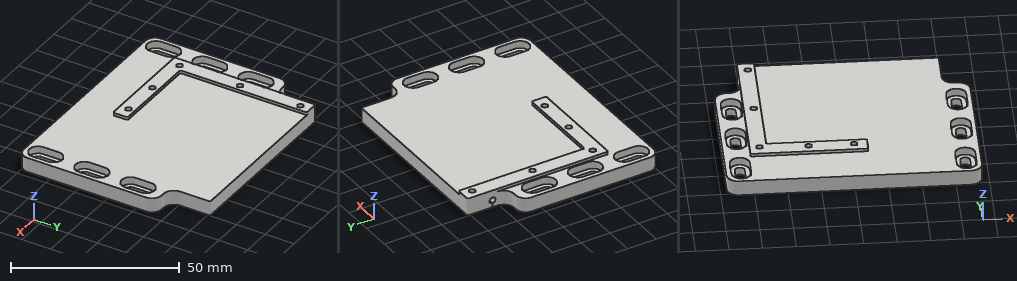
import cadquery as cq

plate_width = 76.0
plate_length = 62.0
plate_thickness = 5.0
shoulder_y = 48.0
shoulder_width = 8.0
shoulder_radius = 3.5
tongue_width = plate_width - 2 * shoulder_width
small_radius = 0.5

rail_height = 1.0
rail_width = 5.1
rail_front_y = 13.0
rail_foot_length = 35.0
rail_left_x = -tongue_width / 2
rail_leg_length = plate_length - rail_front_y
total_height = plate_thickness + rail_height

pin_diameter = 2.0
pin_edge_offset = 3.0
leg_pin_back_offset = 3.5
leg_pin_pitch = 21.0
leg_pin_count = 3
foot_pin_offsets = (17.5, 31.0)

slot_x = plate_width / 2 - 4.5
slot_first_y = 7.1
slot_pitch = 16.0
slot_count = 3
slot_width = 3.0
slot_travel = 5.25
counterbore_width = 6.0
counterbore_depth = 2.5

bore_diameter = 2.0
bore_y = plate_length - 8.75
bore_z = plate_thickness / 2
slit_width = 0.2
channel_angle = 15.0
channel_overrun = 1.5
channel_depth = 15.2


def box_from_corner(x, y, width, length, height):
    return cq.Workplane("XY").box(width, length, height, centered=False).translate((x, y, 0))


def make_plate():
    body = box_from_corner(-plate_width / 2, 0, plate_width, shoulder_y, plate_thickness)
    tongue = box_from_corner(-tongue_width / 2, 0, tongue_width, plate_length, plate_thickness)
    plate = body.edges("|Z").fillet(shoulder_radius).union(tongue.edges("|Z and >Y").fillet(small_radius))
    corner_margin = 0.75
    inner_corners = cq.selectors.BoxSelector(
        (-tongue_width / 2 - corner_margin, shoulder_y - corner_margin, -corner_margin),
        (tongue_width / 2 + corner_margin, shoulder_y + corner_margin, total_height),
    )
    return plate.edges("|Z").edges(inner_corners).fillet(shoulder_radius)


def make_rail():
    leg = box_from_corner(rail_left_x, rail_front_y, rail_width, rail_leg_length, rail_height)
    foot = box_from_corner(rail_left_x, rail_front_y, rail_foot_length, rail_width, rail_height)
    rail = leg.union(foot).edges("|Z").fillet(small_radius)
    return rail.translate((0, 0, plate_thickness))


def make_pin_holes():
    leg_x = rail_left_x + pin_edge_offset
    leg_back_y = plate_length - leg_pin_back_offset
    foot_y = rail_front_y + pin_edge_offset
    centers = [(leg_x, leg_back_y - i * leg_pin_pitch) for i in range(leg_pin_count)]
    centers += [(rail_left_x + offset, foot_y) for offset in foot_pin_offsets]
    return cq.Workplane("XY").pushPoints(centers).circle(pin_diameter / 2).extrude(total_height)


def make_slots(width, bottom_z):
    centers = [(side * slot_x, slot_first_y + i * slot_pitch) for side in (-1, 1) for i in range(slot_count)]
    slots = cq.Workplane("XY").workplane(offset=bottom_z).pushPoints(centers)
    return slots.slot2D(slot_travel + width, width, 90).extrude(plate_thickness - bottom_z)


def make_keyhole_channel():
    length = channel_depth + channel_overrun
    profile = cq.Workplane("YZ").workplane(offset=-channel_overrun)
    bore = profile.circle(bore_diameter / 2).extrude(length)
    slit = profile.center(0, -bore_z / 2).rect(slit_width, bore_z).extrude(length)
    channel = bore.union(slit).rotate((0, 0, 0), (0, 0, 1), channel_angle)
    return channel.translate((rail_left_x, bore_y, bore_z))


result = (
    make_plate()
    .union(make_rail())
    .cut(make_pin_holes())
    .cut(make_slots(slot_width, 0))
    .cut(make_slots(counterbore_width, plate_thickness - counterbore_depth))
    .cut(make_keyhole_channel())
)